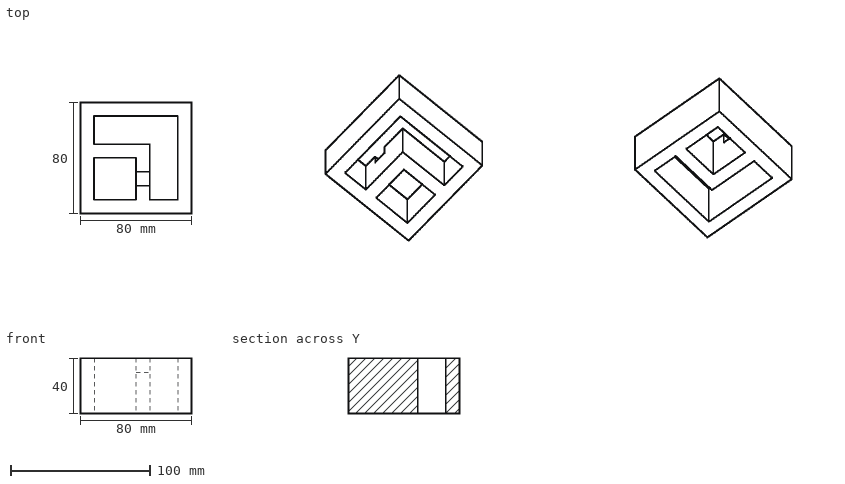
import cadquery as cq

side = 80.0
height = 40.0
wall = 10.0
room = 30.0
notch_width = wall
notch_depth = wall
notch_start = 20.0

cavity = side - 2 * wall
partition_outer = room + wall


def corner_block(start_x, start_y, base_z, length_x, length_y, length_z):
    """Box placed by its lowest corner."""
    box = cq.Workplane("XY").box(length_x, length_y, length_z, centered=False)
    return box.translate((start_x, start_y, base_z))


frame = corner_block(0, 0, 0, side, side, height)
frame = frame.cut(corner_block(wall, wall, 0, cavity, cavity, height))

partition = corner_block(wall, wall, 0, partition_outer, partition_outer, height)
partition = partition.cut(corner_block(wall, wall, 0, room, room, height))

notch = corner_block(wall + room, notch_start, height - notch_depth, wall, notch_width, notch_depth)
partition = partition.cut(notch)

result = frame.union(partition)